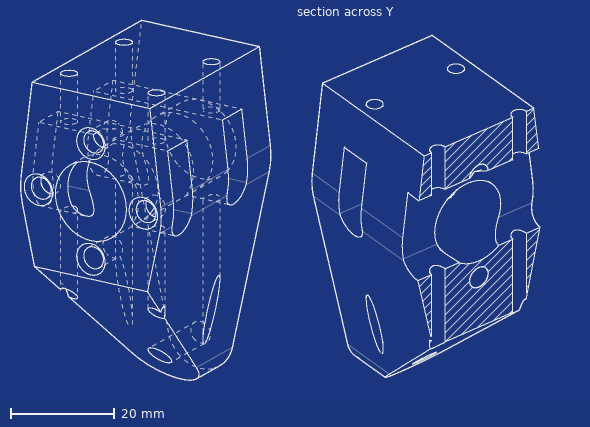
import cadquery as cq
import math

body_length = 40.0
front_y = -body_length / 2
top_z = 22.0
top_half_width = 13.5
shoulder_radius = 16.125
foot_radius = 7.5
foot_z = -40.0

slope_start_z = -16.1
slope_end_y = 13.0

main_bore_diameter = 16.25
foot_hole_diameter = 4.5

screw_circle_radius = 12.0
screw_diameter = 4.5
screw_depth = 8.0
screw_tip_angle = 118.0
countersink_diameter = 6.5
countersink_angle = 90.0

station_pitch = 20.0
first_station_y = front_y + 8.0
stations_y = [first_station_y, first_station_y + station_pitch]
slot_width = 7.0
slot_top_z = 12.0
slot_bottom_z = -6.5
vertical_hole_diameter = 3.3
vertical_hole_spacing = 20.0

cut_margin = 5.0


def polar(radius, angle, center_z=0.0):
    """Point in X-Z at an angle in radians above the +X direction."""
    return (radius * math.cos(angle), center_z + radius * math.sin(angle))


def mirrored(point):
    return (-point[0], point[1])


def make_body():
    """Shoulder arcs tangent to the upper and lower flanks, rounded at the foot."""
    corner = (top_half_width, top_z)
    corner_distance = math.hypot(*corner)
    upper_angle = math.atan2(top_z, top_half_width) - math.acos(shoulder_radius / corner_distance)
    lower_angle = -math.asin((shoulder_radius - foot_radius) / -foot_z)
    shoulder_top = polar(shoulder_radius, upper_angle)
    shoulder_middle = (shoulder_radius, 0.0)
    shoulder_bottom = polar(shoulder_radius, lower_angle)
    foot_start = polar(foot_radius, lower_angle, foot_z)
    foot_bottom = (0.0, foot_z - foot_radius)
    return (
        cq.Workplane("XZ", origin=(0, -front_y, 0))
        .moveTo(*corner)
        .lineTo(*shoulder_top)
        .threePointArc(shoulder_middle, shoulder_bottom)
        .lineTo(*foot_start)
        .threePointArc(foot_bottom, mirrored(foot_start))
        .lineTo(*mirrored(shoulder_bottom))
        .threePointArc(mirrored(shoulder_middle), mirrored(shoulder_top))
        .lineTo(*mirrored(corner))
        .close()
        .extrude(body_length)
    )


def make_slope_cut():
    """Wedge below the line from the front face to the bottom of the foot."""
    bottom_z = foot_z - foot_radius
    slope = (bottom_z - slope_start_z) / (slope_end_y - front_y)
    start = (front_y - cut_margin, slope_start_z - slope * cut_margin)
    end = (slope_end_y + cut_margin, bottom_z + slope * cut_margin)
    return (
        cq.Workplane("YZ")
        .polyline([start, end, (start[0], end[1])])
        .close()
        .extrude(shoulder_radius + cut_margin, both=True)
    )


def make_through_bore(diameter, center_z):
    return (
        cq.Workplane("XZ")
        .center(0, center_z)
        .circle(diameter / 2)
        .extrude(body_length, both=True)
    )


def make_screw_hole(x, z):
    """Countersunk blind hole with a drill-point end, entering from the front face."""
    radius = screw_diameter / 2
    sink_radius = countersink_diameter / 2
    sink_depth = (sink_radius - radius) / math.tan(math.radians(countersink_angle / 2))
    tip_length = radius / math.tan(math.radians(screw_tip_angle / 2))
    half_section = [
        (0, 0),
        (sink_radius, 0),
        (radius, sink_depth),
        (radius, screw_depth),
        (0, screw_depth + tip_length),
    ]
    hole = cq.Workplane("XY").polyline(half_section).close().revolve(360, (0, 0), (0, 1))
    return hole.translate((x, front_y, z))


def make_slot(y):
    """Slot through the full width with a square top and a round bottom."""
    half_width = slot_width / 2
    round_z = slot_bottom_z + half_width
    return (
        cq.Workplane("YZ")
        .moveTo(y - half_width, slot_top_z)
        .lineTo(y - half_width, round_z)
        .threePointArc((y, slot_bottom_z), (y + half_width, round_z))
        .lineTo(y + half_width, slot_top_z)
        .close()
        .extrude(shoulder_radius + cut_margin, both=True)
    )


def make_vertical_holes():
    """Holes through the whole height, leaving through the flanks and the slope."""
    half_spacing = vertical_hole_spacing / 2
    centers = [(x, y) for x in (-half_spacing, half_spacing) for y in stations_y]
    height = top_z - foot_z + foot_radius
    return (
        cq.Workplane("XY", origin=(0, 0, top_z))
        .pushPoints(centers)
        .circle(vertical_hole_diameter / 2)
        .extrude(-height)
    )


result = make_body().cut(make_slope_cut())
result = result.cut(make_through_bore(main_bore_diameter, 0.0))
result = result.cut(make_through_bore(foot_hole_diameter, foot_z))
for quarter in range(4):
    result = result.cut(make_screw_hole(*polar(screw_circle_radius, quarter * math.pi / 2)))
for station_y in stations_y:
    result = result.cut(make_slot(station_y))
result = result.cut(make_vertical_holes())